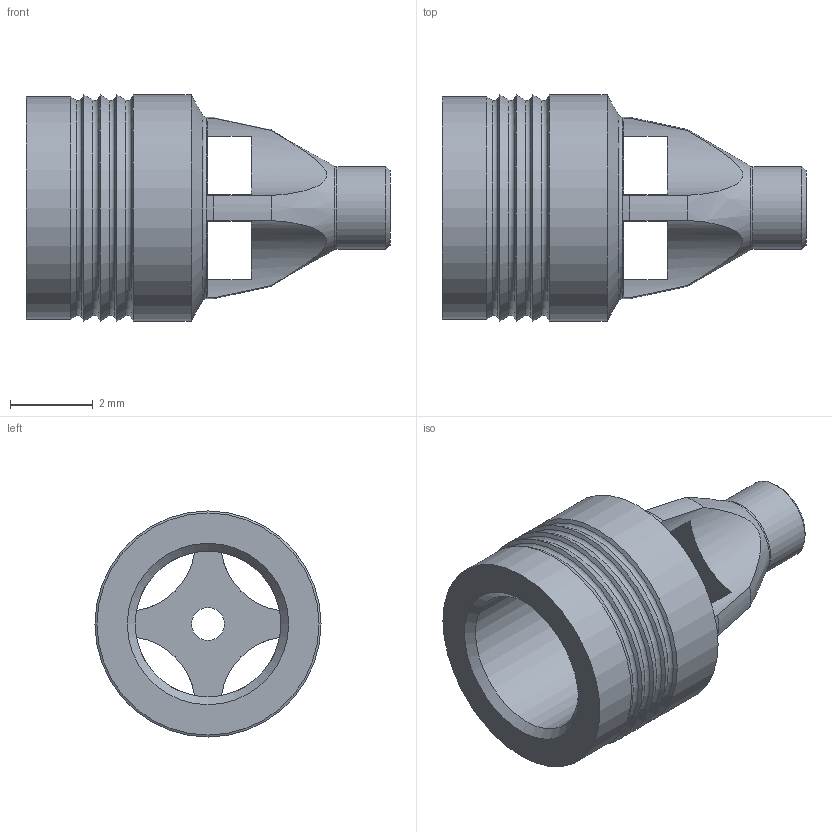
import cadquery as cq
import math

total_length = 8.82

sleeve_radius = 5.38 / 2

barb_pitch = 0.4
barb_count = 4
root_fillet = 0.1
flank_angle = math.radians(30)

collar_radius = 5.48 / 2
collar_start = 2.6
collar_end = 4.0
shoulder_angle = math.radians(30)
shoulder_fillet = 0.1

first_flank_top = collar_start - barb_count * barb_pitch
sleeve_length = first_flank_top + (collar_radius - sleeve_radius) / math.tan(flank_angle)

nose_radius = 4.4 / 2
taper_start = 4.55
taper_end = 5.95
taper_end_radius = 1.9
tube_radius = 2.0 / 2
cone_angle = math.radians(30)
cone_fillet = 0.1
tip_chamfer = 0.1

bore_radius = 3.53 / 2
bore_depth = 5.46
bore_chamfer = 0.19
outlet_radius = 0.8 / 2

flute_count = 4
flute_start = 4.4
flute_radius = 1.7
flute_center = 2.0


def cylinder(radius, start, end):
    """Solid cylinder on the X axis between two X positions."""
    return cq.Workplane("YZ", origin=(start, 0, 0)).circle(radius).extrude(end - start)


def add_tangent_fillet(profile, corner, angle, radius):
    """Run down a flank sloping at the given angle and blend into a line parallel to X."""
    corner_x, corner_r = corner
    setback = radius * math.tan(angle / 2)
    start = (corner_x - setback * math.cos(angle), corner_r + setback * math.sin(angle))
    end = (corner_x + setback, corner_r)
    middle = (end[0] - radius * math.sin(angle / 2), corner_r + radius * (1 - math.cos(angle / 2)))
    return profile.lineTo(*start).threePointArc(middle, end)


def make_body():
    """Revolve the outer outline about the X axis."""
    profile = cq.Workplane("XY").lineTo(0, sleeve_radius).lineTo(sleeve_length, sleeve_radius)

    sine = math.sin(flank_angle)
    cosine = math.cos(flank_angle)
    root_r = collar_radius - barb_pitch * sine * cosine
    for index in range(barb_count):
        crest_x = first_flank_top + (index + 1) * barb_pitch
        root_x = crest_x - barb_pitch * sine**2
        flank_end = (root_x - root_fillet * cosine, root_r + root_fillet * sine)
        wall_start = (root_x + root_fillet * sine, root_r + root_fillet * cosine)
        arc_bottom = (wall_start[0] - root_fillet * cosine, wall_start[1] + root_fillet * (sine - 1))
        profile = profile.lineTo(*flank_end)
        profile = profile.threePointArc(arc_bottom, wall_start)
        profile = profile.lineTo(crest_x, collar_radius)

    profile = profile.lineTo(collar_end, collar_radius)
    shoulder_foot_x = collar_end + (collar_radius - nose_radius) * math.tan(shoulder_angle)
    profile = add_tangent_fillet(
        profile, (shoulder_foot_x, nose_radius), math.pi / 2 - shoulder_angle, shoulder_fillet
    )
    profile = profile.lineTo(taper_start, nose_radius).lineTo(taper_end, taper_end_radius)
    cone_foot_x = taper_end + (taper_end_radius - tube_radius) / math.tan(cone_angle)
    profile = add_tangent_fillet(profile, (cone_foot_x, tube_radius), cone_angle, cone_fillet)
    profile = (
        profile.lineTo(total_length - tip_chamfer, tube_radius)
        .lineTo(total_length, tube_radius - tip_chamfer)
        .lineTo(total_length, 0)
        .close()
    )
    return profile.revolve(360, (0, 0, 0), (1, 0, 0))


def cut_bore(body):
    """Blind bore with a chamfered mouth, and the outlet hole through its floor."""
    mouth = (
        cq.Workplane("XY")
        .lineTo(0, bore_radius + bore_chamfer)
        .lineTo(bore_chamfer, bore_radius)
        .lineTo(bore_chamfer, 0)
        .close()
        .revolve(360, (0, 0, 0), (1, 0, 0))
    )
    bore = cylinder(bore_radius, 0, bore_depth)
    outlet = cylinder(outlet_radius, 0, total_length)
    return body.cut(mouth).cut(bore).cut(outlet)


def cut_flutes(body):
    """Round flutes on the diagonals, opening into the bore beside the ribs."""
    flutes = (
        cq.Workplane("YZ", origin=(flute_start, 0, 0))
        .polarArray(math.hypot(flute_center, flute_center), 180 / flute_count, 360, flute_count)
        .circle(flute_radius)
        .extrude(total_length - flute_start)
    )
    return body.cut(flutes)


result = cut_flutes(cut_bore(make_body()))